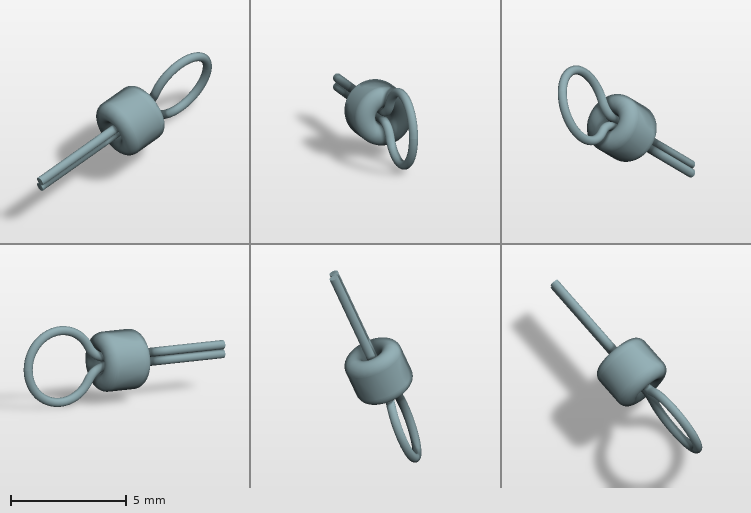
import cadquery as cq
import math

overall_length = 9.83
bead_diameter = 2.62
bead_length = 2.14
bore_diameter = 0.81
wire_diameter = 0.39
strand_gap = 0.01
loop_outer_diameter = 3.56
neck_radius = 1.0

bead_radius = bead_diameter / 2
bore_radius = bore_diameter / 2
end_radius = (bead_radius - bore_radius) / 2
wall_mid_radius = (bead_radius + bore_radius) / 2
bead_half_length = bead_length / 2
straight_half_length = bead_half_length - end_radius

loop_radius = (loop_outer_diameter - wire_diameter) / 2
strand_height = (wire_diameter + strand_gap) / 2
loop_center_y = bead_half_length + loop_outer_diameter / 2
wire_end_y = bead_half_length + loop_outer_diameter - overall_length

center_distance = loop_radius + neck_radius
neck_center_z = strand_height + neck_radius
tangent_angle = math.asin(neck_center_z / center_distance)
neck_center_y = loop_center_y - center_distance * math.cos(tangent_angle)


def make_bead():
    """Revolve a wall section with semicircular ends about the Y axis."""
    return (
        cq.Workplane("XY")
        .moveTo(bore_radius, -straight_half_length)
        .threePointArc((wall_mid_radius, -bead_half_length), (bead_radius, -straight_half_length))
        .lineTo(bead_radius, straight_half_length)
        .threePointArc((wall_mid_radius, bead_half_length), (bore_radius, straight_half_length))
        .close()
        .revolve(360, (0, 0, 0), (0, 1, 0))
    )


def loop_point(angle):
    """Point (y, z) on the loop centreline, with the angle measured from the bead side."""
    return (
        loop_center_y - loop_radius * math.cos(angle),
        loop_radius * math.sin(angle),
    )


def neck_point(angle):
    """Point (y, z) on the upper neck arc, with the same angle as its tangent point on the loop."""
    return (
        neck_center_y + neck_radius * math.cos(angle),
        neck_center_z - neck_radius * math.sin(angle),
    )


def make_upper_half_wire():
    """Sweep a round section along the upper strand, its neck and the upper half of the loop."""
    top_angle = math.pi / 2
    tip_angle = math.pi
    bend_mid_angle = (tangent_angle + top_angle) / 2
    path = (
        cq.Workplane("YZ")
        .moveTo(wire_end_y, strand_height)
        .lineTo(neck_center_y, strand_height)
        .threePointArc(neck_point(bend_mid_angle), loop_point(tangent_angle))
        .threePointArc(loop_point(bend_mid_angle), loop_point(top_angle))
        .threePointArc(loop_point((top_angle + tip_angle) / 2), loop_point(tip_angle))
    )
    return (
        cq.Workplane("XZ", origin=(0, wire_end_y, strand_height))
        .circle(wire_diameter / 2)
        .sweep(path)
    )


def make_wire():
    """Mirror the upper half to complete the loop and add the lower strand."""
    upper_half = make_upper_half_wire()
    return upper_half.union(upper_half.mirror("XY"))


bead = make_bead()
wire = make_wire()
result = cq.Compound.makeCompound([bead.val(), wire.solids().val()])